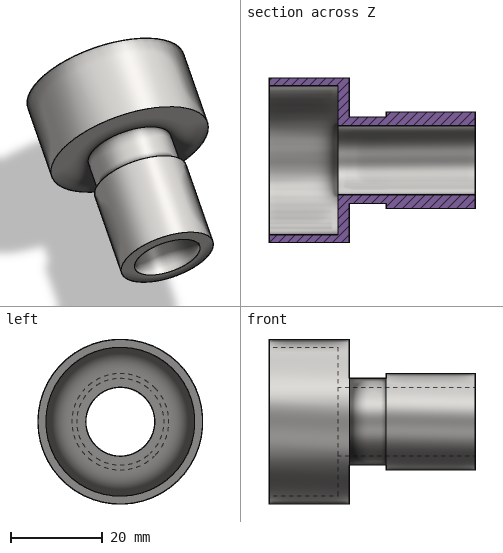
import cadquery as cq

total_length = 45.0
collar_length = 17.5
neck_length = 8.0
spigot_length = total_length - collar_length - neck_length
socket_depth = 15.0

collar_diameter = 36.0
socket_diameter = 32.5
neck_diameter = 19.0
spigot_diameter = 21.1
bore_diameter = 15.0


def cylinder_along_x(start, length, diameter):
    """Solid cylinder centred on the X axis, running from start towards +X."""
    return cq.Workplane("YZ", origin=(start, 0, 0)).circle(diameter / 2).extrude(length)


neck_start = collar_length
spigot_start = neck_start + neck_length
body = (
    cylinder_along_x(0, collar_length, collar_diameter)
    .union(cylinder_along_x(neck_start, neck_length, neck_diameter))
    .union(cylinder_along_x(spigot_start, spigot_length, spigot_diameter))
)

socket = cylinder_along_x(0, socket_depth, socket_diameter)
bore = cylinder_along_x(0, total_length, bore_diameter)

result = body.cut(socket).cut(bore)